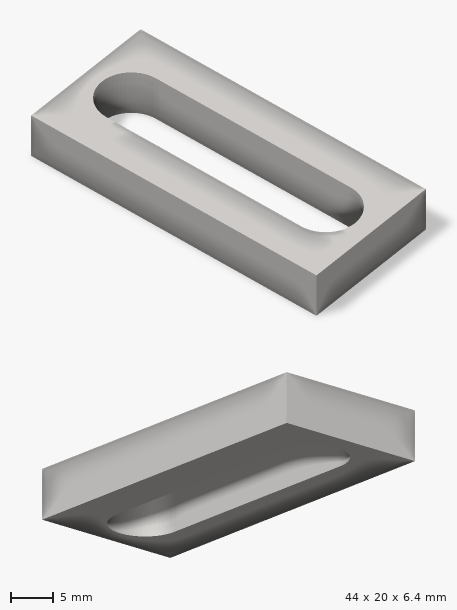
import cadquery as cq

plate_length = 44.0
plate_width = 20.0
plate_thickness = 6.4

slot_length = 39.0
slot_width = 9.0

plate = cq.Workplane("XY").box(plate_length, plate_width, plate_thickness)

result = plate.faces(">Z").workplane().slot2D(slot_length, slot_width).cutThruAll()